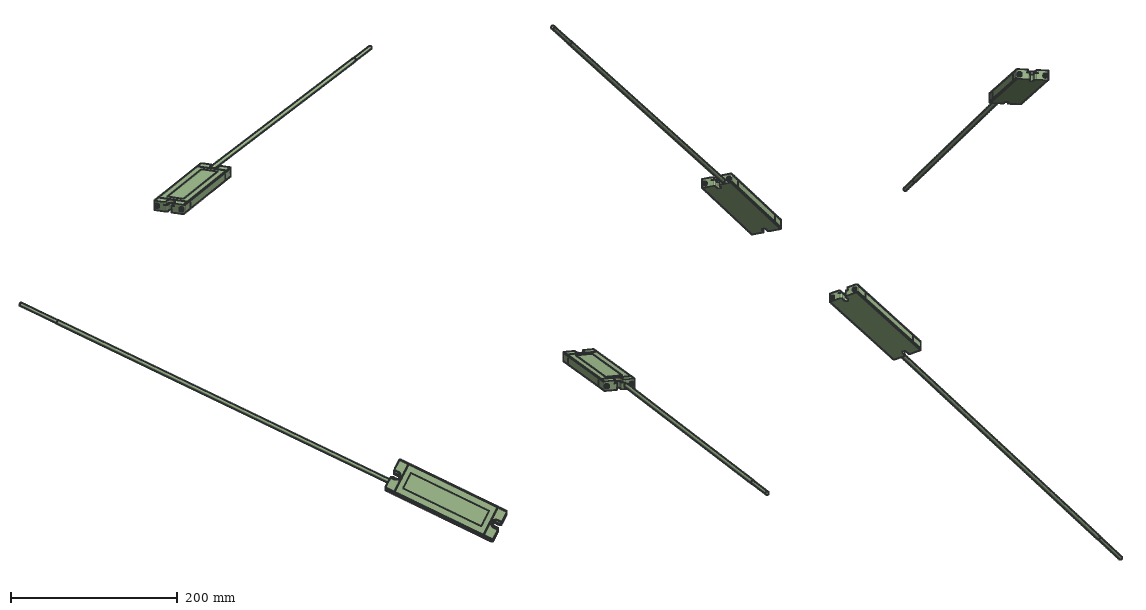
import cadquery as cq

overall_length = 638
overall_height = 18.0

body_width = 40.0
body_length = 144.0
body_height = 12.0
corner_radius = 2.0
bottom_chamfer = 1.0
top_chamfer_width = 1.0
top_chamfer_height = 0.5

window_width = 21.0
window_length = 104.5
groove_width = 0.5
mark_depth = 0.3
top_groove_inset = 12.45
side_groove_inset = 18.5
side_groove_top = 9.0

slot_width = 5.0
slot_depth = 9.5
recess_width = 10.0
recess_depth = 11.0
recess_drop = 4.0

socket_x = 16.0
socket_z = 6.0
socket_diameter = 6.0
socket_depth = 1.0
socket_bore_diameter = 2.5
socket_bore_depth = 3.0

cable_x = -8.6
cable_exit_z = 4.5
cable_diameter = 5.0
tip_diameter = 4.5
tip_length = 50.0
cable_embedment = 2.0

end_y = body_length / 2
side_x = body_width / 2


def end_slot(width, depth, floor_z, side):
    """Round-ended cutter that enters from the end face on the given side."""
    radius = width / 2
    tip_center_y = side * (end_y - depth + radius)
    return (
        cq.Workplane("XY", origin=(0, 0, floor_z))
        .moveTo(-radius, side * end_y)
        .lineTo(-radius, tip_center_y)
        .threePointArc((0, tip_center_y - side * radius), (radius, tip_center_y))
        .lineTo(radius, side * end_y)
        .close()
        .extrude(body_height)
    )


def chamfered_bar():
    """Cross-section of the housing with its four long edges chamfered."""
    half_bottom = side_x - bottom_chamfer
    half_top = side_x - top_chamfer_width
    shoulder_z = body_height - top_chamfer_height
    return (
        cq.Workplane("XZ")
        .polyline([
            (-half_bottom, 0),
            (half_bottom, 0),
            (side_x, bottom_chamfer),
            (side_x, shoulder_z),
            (half_top, body_height),
            (-half_top, body_height),
            (-side_x, shoulder_z),
            (-side_x, bottom_chamfer),
        ])
        .close()
        .extrude(end_y, both=True)
    )


def slotted_block():
    """Block with the end slots; its vertical edges at both ends are rounded."""
    block = cq.Workplane("XY").box(body_width, body_length, body_height, centered=(True, True, False))
    for side in (1, -1):
        block = block.cut(end_slot(slot_width, slot_depth, 0, side))
        block = block.cut(end_slot(recess_width, recess_depth, body_height - recess_drop, side))
    return block.faces("<Y or >Y").edges("|Z").fillet(corner_radius)


def screw_socket(x, side):
    """Stepped round cutter going into an end face."""
    mouth = cq.Vector(x, side * end_y, socket_z)
    inward = cq.Vector(0, -side, 0)
    head = cq.Solid.makeCylinder(socket_diameter / 2, socket_depth, mouth, inward)
    bore = cq.Solid.makeCylinder(socket_bore_diameter / 2, socket_bore_depth, mouth, inward)
    return head.fuse(bore)


def surface_marks():
    """Shallow cutters: the top window, two grooves across the top and four on the sides."""
    marks = cq.Workplane("XY", origin=(0, 0, body_height)).box(window_width, window_length, 2 * mark_depth)
    top_y = end_y - top_groove_inset
    marks = marks.union(
        cq.Workplane("XY", origin=(0, 0, body_height))
        .pushPoints([(0, -top_y), (0, top_y)])
        .box(body_width, groove_width, 2 * mark_depth)
    )
    side_y = end_y - side_groove_inset
    return marks.union(
        cq.Workplane("XY", origin=(0, 0, bottom_chamfer))
        .rect(body_width, 2 * side_y, forConstruction=True)
        .vertices()
        .box(2 * mark_depth, groove_width, side_groove_top - bottom_chamfer, centered=(True, True, False))
    )


def make_housing():
    housing = slotted_block().intersect(chamfered_bar()).cut(surface_marks())
    for side in (1, -1):
        for x in (-socket_x, socket_x):
            housing = housing.cut(cq.Workplane(screw_socket(x, side)))
    return housing


def make_cable():
    """Straight sloping cable whose tip touches the lowest level of the part."""
    tip_radius = tip_diameter / 2
    span = overall_length - body_length
    end_z = body_height - overall_height + tip_radius
    path = cq.Vector(0, span, end_z - cable_exit_z)
    slope = path.normalized()
    start = cq.Vector(cable_x, end_y, cable_exit_z) - slope * cable_embedment
    jacket_length = path.Length + cable_embedment - tip_length
    jacket = cq.Solid.makeCylinder(cable_diameter / 2, jacket_length, start, slope)
    tip = cq.Solid.makeCylinder(tip_radius, tip_length, start + slope * jacket_length, slope)
    return cq.Workplane(jacket).union(cq.Workplane(tip))


result = make_housing().union(make_cable())